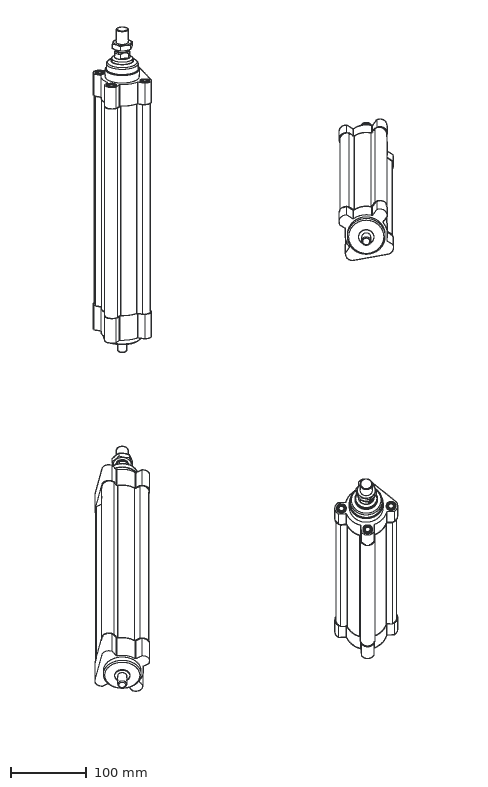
import cadquery as cq
import math


OVERALL_LENGTH = 458.5
NUT_TOP = 439.5
NUT_BOTTOM = 431.5
THREAD_BOTTOM = 430.0
ROD_SHOULDER = 427.5
FLATS_BOTTOM = 420.0
WIPER_TOP = 419.0
WIPER_SHOULDER = 417.5
WIPER_BOTTOM = 413.5
COLLAR_TOP = 411.5
COLLAR_STEP = 402.0
HEAD_TOP = 390.5
HEAD_BOTTOM = 360.0
REAR_TOP = 62.0
REAR_BOTTOM = 27.0
SPIGOT_BOTTOM = 19.0
BOSS_BOTTOM = 17.5

CAP_WIDTH = 64.0
CAP_CORNER_RADIUS = 9.0
CAP_BULGE_RADIUS = 28.0
CAP_NOTCH_MOUTH = 40.5
CAP_NOTCH_DEPTH = 7.0

BARREL_WIDTH = 62.5
BARREL_CORNER_RADIUS = 9.5
BARREL_BULGE_RADIUS = 27.5
BARREL_NOTCH_MOUTH = 35.0
BARREL_NOTCH_DEPTH = 6.0

COLLAR_LOWER_DIAMETER = 45.0
COLLAR_UPPER_DIAMETER = 42.0
COLLAR_STEP_CHAMFER = 1.0
COLLAR_TOP_DIAMETER = 39.0
COLLAR_EDGE_DROP = 2.0
CONE_TOP_DIAMETER = 30.3
WIPER_DIAMETER = 28.0
WIPER_EDGE_DROP = 1.0
WIPER_SHOULDER_DIAMETER = 25.5
WIPER_LIP_DIAMETER = 21.0

SCREW_PITCH = 46.5
SCREW_RECESS_DIAMETER = 13.0
SCREW_HEAD_DIAMETER = 10.0
SCREW_RECESS_DEPTH = 1.5
SCREW_HOLE_DIAMETER = 6.5
SCREW_HOLE_MOUTH_DIAMETER = 8.0
SCREW_HOLE_DEPTH = 13.8
DRILL_POINT_ANGLE = 118.0

ROD_DIAMETER = 20.0
ROD_CHAMFER = 1.5
ROD_ACROSS_FLATS = 17.0
THREAD_DIAMETER = 16.0
THREAD_CHAMFER = 1.0
NECK_DIAMETER = 13.8

NUT_SIDES = 6
NUT_ACROSS_FLATS = 24.5
NUT_CHAMFER_DIAMETER = 23.5
NUT_CHAMFER_ANGLE = 30.0

SPIGOT_DIAMETER = 50.0
SPIGOT_CHAMFER = 2.0
BOSS_DIAMETER = 20.0
SHAFT_DIAMETER = 12.0
SHAFT_CHAMFER = 1.5


def cylinder(diameter, bottom, top):
    return cq.Workplane("XY", origin=(0, 0, bottom)).circle(diameter / 2).extrude(top - bottom)


def turned(profile):
    """Solid of revolution about Z from (diameter, level) pairs, upward from a point on the axis."""
    points = [(diameter / 2, level) for diameter, level in profile]
    points.append((0, profile[-1][1]))
    return cq.Workplane("XZ").polyline(points).close().revolve(360, (0, 0), (0, 1))


def section_bar(width, corner_radius, bulge_radius, notch_mouth, notch_depth, notch_angles, bottom, top):
    """Rounded square bar with 45-degree notches beside a round bulge on the chosen sides."""
    length = top - bottom
    start = cq.Workplane("XY", origin=(0, 0, bottom))
    bar = start.rect(width, width).extrude(length).edges("|Z").fillet(corner_radius)
    side = width / 2
    mouth = notch_mouth / 2
    notch = (
        start.polyline([
            (side, -mouth),
            (side, mouth),
            (side - notch_depth, mouth - notch_depth),
            (side - notch_depth, notch_depth - mouth),
        ])
        .close()
        .extrude(length)
    )
    for angle in notch_angles:
        bar = bar.cut(notch.rotate((0, 0, 0), (0, 0, 1), angle))
    return bar.union(cylinder(2 * bulge_radius, bottom, top))


def make_cap_block(bottom, top):
    """Cap with notches on three sides and a full flat side at +Y."""
    return section_bar(
        CAP_WIDTH, CAP_CORNER_RADIUS, CAP_BULGE_RADIUS, CAP_NOTCH_MOUTH, CAP_NOTCH_DEPTH,
        (0, 180, 270), bottom, top,
    )


def make_screw_cut():
    """Ring recess around a screw head and the drilled hole in its middle."""
    recess_floor = HEAD_TOP - SCREW_RECESS_DEPTH
    ring = cylinder(SCREW_RECESS_DIAMETER, recess_floor, HEAD_TOP).cut(
        cylinder(SCREW_HEAD_DIAMETER, recess_floor, HEAD_TOP)
    )
    mouth_depth = (SCREW_HOLE_MOUTH_DIAMETER - SCREW_HOLE_DIAMETER) / 2
    hole_floor = HEAD_TOP - SCREW_HOLE_DEPTH
    point_depth = SCREW_HOLE_DIAMETER / 2 / math.tan(math.radians(DRILL_POINT_ANGLE / 2))
    hole = turned([
        (0, hole_floor - point_depth),
        (SCREW_HOLE_DIAMETER, hole_floor),
        (SCREW_HOLE_DIAMETER, HEAD_TOP - mouth_depth),
        (SCREW_HOLE_MOUTH_DIAMETER, HEAD_TOP),
    ])
    return ring.union(hole)


def make_head_cap():
    collar = turned([
        (0, HEAD_TOP),
        (COLLAR_LOWER_DIAMETER, HEAD_TOP),
        (COLLAR_LOWER_DIAMETER, COLLAR_STEP - COLLAR_STEP_CHAMFER),
        (COLLAR_LOWER_DIAMETER - 2 * COLLAR_STEP_CHAMFER, COLLAR_STEP),
        (COLLAR_UPPER_DIAMETER, COLLAR_STEP),
        (COLLAR_UPPER_DIAMETER, COLLAR_TOP - COLLAR_EDGE_DROP),
        (COLLAR_TOP_DIAMETER, COLLAR_TOP),
        (CONE_TOP_DIAMETER, WIPER_BOTTOM),
        (WIPER_DIAMETER, WIPER_BOTTOM),
        (WIPER_DIAMETER, WIPER_SHOULDER - WIPER_EDGE_DROP),
        (WIPER_SHOULDER_DIAMETER, WIPER_SHOULDER),
        (WIPER_LIP_DIAMETER, WIPER_TOP),
    ])
    head = make_cap_block(HEAD_BOTTOM, HEAD_TOP).union(collar)
    screw_cut = make_screw_cut()
    for x in (-SCREW_PITCH / 2, SCREW_PITCH / 2):
        for y in (-SCREW_PITCH / 2, SCREW_PITCH / 2):
            head = head.cut(screw_cut.translate((x, y, 0)))
    return head.cut(cylinder(ROD_DIAMETER, HEAD_BOTTOM, WIPER_TOP))


def make_barrel():
    return section_bar(
        BARREL_WIDTH, BARREL_CORNER_RADIUS, BARREL_BULGE_RADIUS, BARREL_NOTCH_MOUTH, BARREL_NOTCH_DEPTH,
        (0, 90, 180, 270), REAR_TOP, HEAD_BOTTOM,
    )


def make_rear_cap():
    spigot = cylinder(SPIGOT_DIAMETER, SPIGOT_BOTTOM, REAR_BOTTOM).faces("<Z").chamfer(SPIGOT_CHAMFER)
    boss = cylinder(BOSS_DIAMETER, BOSS_BOTTOM, SPIGOT_BOTTOM)
    shaft = cylinder(SHAFT_DIAMETER, 0, BOSS_BOTTOM).faces("<Z").chamfer(SHAFT_CHAMFER)
    return make_cap_block(REAR_BOTTOM, REAR_TOP).union(spigot).union(boss).union(shaft)


def make_rod():
    rod = turned([
        (0, HEAD_BOTTOM),
        (ROD_DIAMETER, HEAD_BOTTOM),
        (ROD_DIAMETER, ROD_SHOULDER - ROD_CHAMFER),
        (ROD_DIAMETER - 2 * ROD_CHAMFER, ROD_SHOULDER),
        (NECK_DIAMETER, ROD_SHOULDER),
        (NECK_DIAMETER, THREAD_BOTTOM),
        (THREAD_DIAMETER, THREAD_BOTTOM),
        (THREAD_DIAMETER, OVERALL_LENGTH - THREAD_CHAMFER),
        (THREAD_DIAMETER - 2 * THREAD_CHAMFER, OVERALL_LENGTH),
    ])
    flats = (
        cylinder(2 * ROD_DIAMETER, FLATS_BOTTOM, ROD_SHOULDER)
        .cut(
            cq.Workplane("XY", origin=(0, 0, FLATS_BOTTOM))
            .rect(ROD_ACROSS_FLATS, 2 * ROD_DIAMETER)
            .extrude(ROD_SHOULDER - FLATS_BOTTOM)
        )
    )
    return rod.cut(flats)


def make_nut():
    """Hexagon nut with flats facing +X and -X and chamfered corners at both ends."""
    half_side_angle = 180 / NUT_SIDES
    across_corners = NUT_ACROSS_FLATS / math.cos(math.radians(half_side_angle))
    hexagon = (
        cq.Workplane("XY", origin=(0, 0, NUT_BOTTOM))
        .transformed(rotate=(0, 0, half_side_angle))
        .polygon(NUT_SIDES, across_corners)
        .extrude(NUT_TOP - NUT_BOTTOM)
    )
    chamfer_height = (across_corners - NUT_CHAMFER_DIAMETER) / 2 * math.tan(math.radians(NUT_CHAMFER_ANGLE))
    chamfer_limit = turned([
        (0, NUT_BOTTOM),
        (NUT_CHAMFER_DIAMETER, NUT_BOTTOM),
        (across_corners, NUT_BOTTOM + chamfer_height),
        (across_corners, NUT_TOP - chamfer_height),
        (NUT_CHAMFER_DIAMETER, NUT_TOP),
    ])
    return hexagon.intersect(chamfer_limit).cut(cylinder(THREAD_DIAMETER, NUT_BOTTOM, NUT_TOP))


head_cap = make_head_cap()
barrel = make_barrel()
rear_cap = make_rear_cap()
piston_rod = make_rod()
lock_nut = make_nut()

result = cq.Compound.makeCompound([
    head_cap.val(),
    barrel.val(),
    rear_cap.val(),
    piston_rod.val(),
    lock_nut.val(),
])